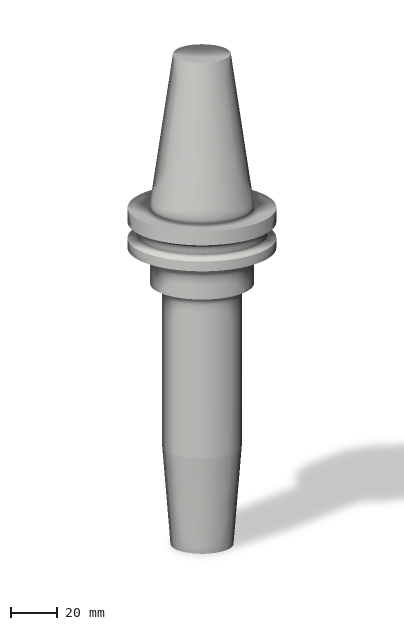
import cadquery as cq

total_height = 220.6
nose_height = 44.1
collar_bottom = 117.4
flange_bottom = 133.3
groove_bottom = 137.7
groove_top = 145.0
flange_top = 151.4
taper_bottom = 152.5

nose_tip_radius = 13.5
shank_radius = 17.0
collar_radius = 22.3
flange_radius = 31.8
groove_floor_radius = 28.0
taper_large_radius = collar_radius
taper_per_length = 7 / 24
taper_small_radius = taper_large_radius - (total_height - taper_bottom) * taper_per_length / 2

groove_wall_height = 1.8

profile = [
    (0, 0),
    (nose_tip_radius, 0),
    (shank_radius, nose_height),
    (shank_radius, collar_bottom),
    (collar_radius, collar_bottom),
    (collar_radius, flange_bottom),
    (flange_radius, flange_bottom),
    (flange_radius, groove_bottom),
    (groove_floor_radius, groove_bottom + groove_wall_height),
    (groove_floor_radius, groove_top - groove_wall_height),
    (flange_radius, groove_top),
    (flange_radius, flange_top),
    (taper_large_radius, flange_top),
    (taper_large_radius, taper_bottom),
    (taper_small_radius, total_height),
    (0, total_height),
]

result = cq.Workplane("XZ").polyline(profile).close().revolve(360, (0, 0, 0), (0, 1, 0))